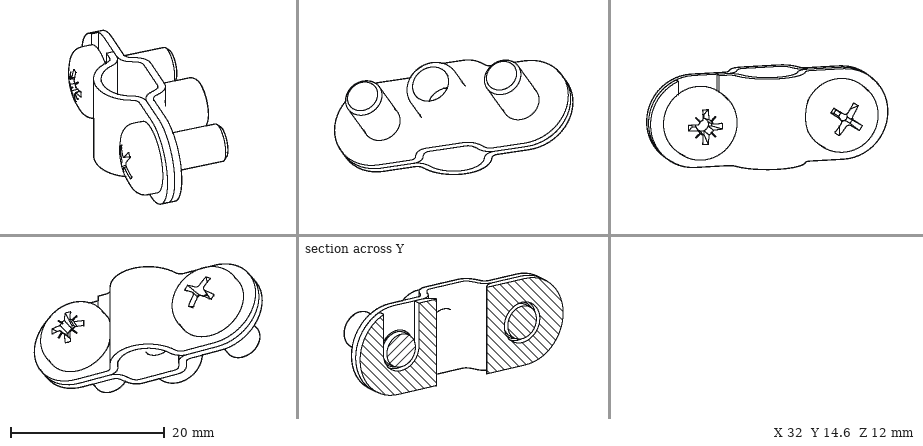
import cadquery as cq
import math


SHEET = 1.0
LENGTH = 32.0
HEIGHT = 12.03
PIPE_OUTER_R = 5.0
PIPE_INNER_R = PIPE_OUTER_R - SHEET
PIPE_OFFSET = 0.03
PIPE_CENTRE = (0, -PIPE_OFFSET)
BEND_INNER_R = 1.0
BEND_OUTER_R = BEND_INNER_R + SHEET
CROWN_Y = 3.6

SCREW_X = 9.5
SHANK_D = 5.0
NECK_D = 4.58
CLEARANCE_D = 5.5
SHANK_END_Y = 9.05
SHANK_TIP_D = 4.13
SHANK_TIP_LENGTH = 0.48
HEAD_D = 9.5
HEAD_DEPTH = 3.68
HEAD_APEX_Y = -SHEET - HEAD_DEPTH
HEAD_EDGE_R = 1.5
DOME_R = 8.32

RECESS_DEPTH = 2.08
ARM_HALF_TOP = 2.5
ARM_HALF_FLOOR = 1.3
ARM_WIDTH_TOP = 0.8
ARM_WIDTH_FLOOR = 0.5
CORE_TIP_DEPTH = 0.48
PHILLIPS_ANGLE = 56.5
PHILLIPS_CORE_TOP_R = 0.58
PHILLIPS_CORE_FLOOR_R = 0.55
PHILLIPS_ROOT_R = 0.48
POZI_CORE_TOP_R = 1.1
POZI_CORE_FLOOR_R = 0.85
TICK_OUTER_R = 1.85
TICK_WIDTH = 0.1
TICK_DEPTH = 0.32

BOSS_D = 7.0
BOSS_BORE_D = 4.93
BOSS_END_Y = 9.65
BOSS_RIM_R = 1.0
BOSS_ROOT_R = 1.0
BORE_MOUTH_R = 1.0

FLANGE_BEND_X = math.sqrt((PIPE_OUTER_R + BEND_INNER_R) ** 2 - (BEND_OUTER_R + PIPE_OFFSET) ** 2)
FLANGE_BEND_ANGLE = math.atan2(BEND_OUTER_R + PIPE_OFFSET, FLANGE_BEND_X)

CROWN_BEND_Y = CROWN_Y - BEND_OUTER_R
CROWN_BEND_X = math.sqrt((PIPE_OUTER_R - BEND_OUTER_R) ** 2 - (CROWN_BEND_Y + PIPE_OFFSET) ** 2)
CROWN_BEND_ANGLE = math.atan2(CROWN_BEND_Y + PIPE_OFFSET, CROWN_BEND_X)


def polar(centre, radius, angle):
    """Point at a radius and an angle (radians) around a centre."""
    return (centre[0] + radius * math.cos(angle), centre[1] + radius * math.sin(angle))


def mirrored_sheet(half_profile):
    """Extrude a right-hand profile over the clip's height and add its mirror image."""
    right = half_profile.extrude(HEIGHT / 2, both=True)
    return right.union(right.mirror("YZ"))


def round_ends(sheet):
    """Trim a bent sheet to full-radius ends, seen along Y."""
    outline = cq.Workplane("XZ").slot2D(LENGTH, HEIGHT).extrude(LENGTH, both=True)
    return sheet.intersect(outline)


def cylinder_y(x, diameter, start_y, end_y):
    """Cylinder along Y, on the clip's mid-height."""
    return (
        cq.Workplane("XZ", origin=(x, start_y, 0))
        .circle(diameter / 2)
        .extrude(start_y - end_y)
    )


def bracket_sheet():
    """Flanges, pipe seat flanks and flat crown."""
    seat_in_start = polar(PIPE_CENTRE, PIPE_INNER_R, CROWN_BEND_ANGLE)
    seat_in_end = polar(PIPE_CENTRE, PIPE_INNER_R, FLANGE_BEND_ANGLE)
    seat_out_start = polar(PIPE_CENTRE, PIPE_OUTER_R, FLANGE_BEND_ANGLE)
    seat_out_end = polar(PIPE_CENTRE, PIPE_OUTER_R, CROWN_BEND_ANGLE)
    profile = (
        cq.Workplane("XY")
        .moveTo(0, CROWN_Y - SHEET)
        .lineTo(CROWN_BEND_X, CROWN_Y - SHEET)
        .radiusArc(seat_in_start, BEND_INNER_R)
        .radiusArc(seat_in_end, PIPE_INNER_R)
        .radiusArc((FLANGE_BEND_X, 0), -BEND_OUTER_R)
        .lineTo(LENGTH / 2, 0)
        .lineTo(LENGTH / 2, SHEET)
        .lineTo(FLANGE_BEND_X, SHEET)
        .radiusArc(seat_out_start, BEND_INNER_R)
        .radiusArc(seat_out_end, -PIPE_OUTER_R)
        .radiusArc((CROWN_BEND_X, CROWN_Y), -BEND_OUTER_R)
        .lineTo(0, CROWN_Y)
        .close()
    )
    return round_ends(mirrored_sheet(profile))


def round_crown_opening(bracket, near_y, far_y, opening_d, radius):
    """Round the edge where a cylinder of the given diameter meets the crown, between two Y levels."""
    reach = opening_d / 2
    crown_zone = cq.selectors.BoxSelector((-reach, near_y, -reach), (reach, far_y, reach))
    return bracket.edges(crown_zone).edges("not %LINE").fillet(radius)


def make_bracket():
    """Bent sheet with a hollow drawn boss on its crown and a shank hole in each flange."""
    crown_inside_y = CROWN_Y - SHEET
    bracket = bracket_sheet().union(cylinder_y(0, BOSS_D, crown_inside_y, BOSS_END_Y))
    bracket = bracket.faces(">Y").edges().fillet(BOSS_RIM_R)
    bracket = round_crown_opening(bracket, crown_inside_y, CROWN_Y + SHEET / 2, BOSS_D, BOSS_ROOT_R)
    bracket = bracket.cut(cylinder_y(0, BOSS_BORE_D, 0, BOSS_END_Y))
    bracket = round_crown_opening(bracket, SHEET, CROWN_Y - SHEET / 2, BOSS_BORE_D, BORE_MOUTH_R)
    for x in (-SCREW_X, SCREW_X):
        bracket = bracket.cut(cylinder_y(x, SHANK_D, 0, SHEET))
    return bracket


def make_strap():
    """Half-round strap, shaped towards +Y and mirrored into place, with two screw holes.

    The left hole opens upwards into a slot. Each flange bend is relieved to seat the screw head.
    """
    inner_start = polar(PIPE_CENTRE, PIPE_INNER_R, FLANGE_BEND_ANGLE)
    outer_start = polar(PIPE_CENTRE, PIPE_OUTER_R, FLANGE_BEND_ANGLE)
    profile = (
        cq.Workplane("XY")
        .moveTo(0, PIPE_INNER_R - PIPE_OFFSET)
        .radiusArc(inner_start, PIPE_INNER_R)
        .radiusArc((FLANGE_BEND_X, 0), -BEND_OUTER_R)
        .lineTo(LENGTH / 2, 0)
        .lineTo(LENGTH / 2, SHEET)
        .lineTo(FLANGE_BEND_X, SHEET)
        .radiusArc(outer_start, BEND_INNER_R)
        .radiusArc((0, PIPE_OUTER_R - PIPE_OFFSET), -PIPE_OUTER_R)
        .close()
    )
    strap = round_ends(mirrored_sheet(profile)).mirror("XZ")
    for x in (-SCREW_X, SCREW_X):
        strap = strap.cut(cylinder_y(x, CLEARANCE_D, -SHEET, 0))
        strap = strap.cut(cylinder_y(x, HEAD_D, HEAD_APEX_Y, -SHEET))
    slot = cq.Workplane("XY").box(CLEARANCE_D, SHEET, HEIGHT / 2, centered=(True, False, False))
    return strap.cut(slot.translate((-SCREW_X, -SHEET, 0)))


def screw_blank():
    """Pan-head screw on the Y axis, head towards -Y and seated at Y = -SHEET."""
    dome_centre_y = HEAD_APEX_Y + DOME_R
    edge_x = HEAD_D / 2 - HEAD_EDGE_R
    edge_drop = math.sqrt((DOME_R - HEAD_EDGE_R) ** 2 - edge_x ** 2)
    edge_centre = (edge_x, dome_centre_y - edge_drop)
    dome_end = polar((0, dome_centre_y), DOME_R, -math.atan2(edge_drop, edge_x))
    profile = (
        cq.Workplane("XY")
        .moveTo(0, HEAD_APEX_Y)
        .radiusArc(dome_end, -DOME_R)
        .radiusArc((HEAD_D / 2, edge_centre[1]), -HEAD_EDGE_R)
        .lineTo(HEAD_D / 2, -SHEET)
        .lineTo(NECK_D / 2, -SHEET)
        .lineTo(NECK_D / 2, 0)
        .lineTo(SHANK_D / 2, 0)
        .lineTo(SHANK_D / 2, SHANK_END_Y - SHANK_TIP_LENGTH)
        .lineTo(SHANK_TIP_D / 2, SHANK_END_Y)
        .lineTo(0, SHANK_END_Y)
        .close()
    )
    return profile.revolve(360, (0, 0, 0), (0, 1, 0))


def recess_core(top_r, floor_r):
    """Round centre of a recess, tapering to its floor and ending in a shallow cone."""
    profile = (
        cq.Workplane("XY")
        .polyline([
            (0, 0),
            (top_r, 0),
            (floor_r, RECESS_DEPTH),
            (0, RECESS_DEPTH + CORE_TIP_DEPTH),
        ])
        .close()
    )
    return profile.revolve(360, (0, 0, 0), (0, 1, 0))


def recess_cross():
    """Two crossing bars that taper towards the recess floor; the open side is at Y = 0."""
    bar = (
        cq.Workplane("XZ")
        .rect(2 * ARM_HALF_TOP, ARM_WIDTH_TOP)
        .workplane(offset=-RECESS_DEPTH)
        .rect(2 * ARM_HALF_FLOOR, ARM_WIDTH_FLOOR)
        .loft()
    )
    return bar.union(bar.rotate((0, 0, 0), (0, 1, 0), 90))


def pozi_recess():
    """Cross with a wide round core and four thin identification ticks between its arms."""
    recess = recess_cross().union(recess_core(POZI_CORE_TOP_R, POZI_CORE_FLOOR_R))
    tick = cq.Workplane("XY").box(2 * TICK_OUTER_R, 2 * TICK_DEPTH, TICK_WIDTH)
    for angle in (45, 135):
        recess = recess.union(tick.rotate((0, 0, 0), (0, 1, 0), angle))
    return recess


def phillips_recess():
    """Turned cross with rounded corners between its arms and a conical point."""
    corner_reach = ARM_WIDTH_TOP
    corners = cq.selectors.BoxSelector(
        (-corner_reach, 0, -corner_reach), (corner_reach, RECESS_DEPTH, corner_reach)
    )
    cross = recess_cross().edges(corners).edges("not #Y").fillet(PHILLIPS_ROOT_R)
    recess = cross.union(recess_core(PHILLIPS_CORE_TOP_R, PHILLIPS_CORE_FLOOR_R))
    return recess.rotate((0, 0, 0), (0, -1, 0), PHILLIPS_ANGLE)


def make_screw(x, recess):
    """Screw at a flange position, with the given driver recess sunk from the dome's apex."""
    return screw_blank().cut(recess.translate((0, HEAD_APEX_Y, 0))).translate((x, 0, 0))


bracket = make_bracket()
strap = make_strap()
screws = [
    make_screw(x, recess)
    for x, recess in ((-SCREW_X, pozi_recess()), (SCREW_X, phillips_recess()))
]

result = cq.Compound.makeCompound([bracket.val(), strap.val(), *[screw.val() for screw in screws]])